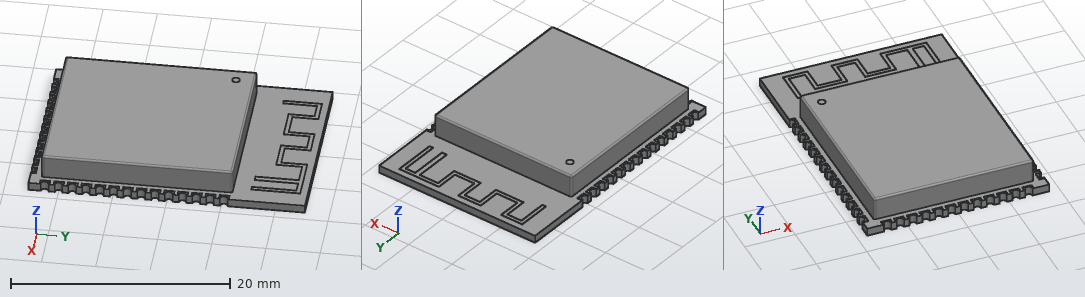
import cadquery as cq

BOARD_WIDTH = 18.0
BOARD_LENGTH = 25.5
BOARD_THICKNESS = 0.8
OVERALL_HEIGHT = 3.1
LEFT_EDGE = -BOARD_WIDTH / 2
FRONT_EDGE = -BOARD_LENGTH / 2
BACK_EDGE = BOARD_LENGTH / 2

COPPER_THICKNESS = 0.035

PAD_WIDTH = 0.92
SIDE_PAD_DEPTH = 0.54
FRONT_PAD_DEPTH = 0.48
CASTELLATION_RADIUS = 0.35
SIDE_PAD_COUNT = 14
FRONT_PAD_COUNT = 12
SIDE_ROW_SPAN = 16.52
PAD_PITCH = SIDE_ROW_SPAN / (SIDE_PAD_COUNT - 1)
FIRST_SIDE_PAD_OFFSET = 1.5

SHIELD_WIDTH = 15.8
SHIELD_LENGTH = 17.6
SHIELD_FRONT_MARGIN = 1.07
SHIELD_EDGE_RADIUS = 0.18
SHIELD_BACK = FRONT_EDGE + SHIELD_FRONT_MARGIN + SHIELD_LENGTH

MARK_DIAMETER = 0.71
MARK_DEPTH = 0.013
MARK_SIDE_INSET = 1.48
MARK_BACK_INSET = 1.7

TRACE_WIDTH = 0.4
FEED_WIDTH = 0.54
MEANDER_TOP = BACK_EDGE - 0.9
MEANDER_BOTTOM = BACK_EDGE - 3.3
OPEN_END = BACK_EDGE - 4.23
FEED_END = BACK_EDGE - 5.1
GROUND_END = BACK_EDGE - 5.2
RUN_OFFSETS = [2.22, 4.23, 7.0, 9.18, 11.83]
FEED_OFFSET = 14.4
GROUND_OFFSET = 16.0


def box_between(x_range, y_range, z_range):
    """Box spanning the given (low, high) limits along each axis."""
    (x0, x1), (y0, y1), (z0, z1) = x_range, y_range, z_range
    return cq.Workplane("XY").box(x1 - x0, y1 - y0, z1 - z0, centered=False).translate((x0, y0, z0))


def copper_strip(start, end, width):
    """Straight strip of raised copper along an axis, extended half a width past each end."""
    half = width / 2
    x_range = (min(start[0], end[0]) - half, max(start[0], end[0]) + half)
    y_range = (min(start[1], end[1]) - half, max(start[1], end[1]) + half)
    return box_between(x_range, y_range, (BOARD_THICKNESS, BOARD_THICKNESS + COPPER_THICKNESS))


def antenna():
    """Raised meander with a feed leg and a ground leg near its right end."""
    xs = [LEFT_EDGE + offset for offset in RUN_OFFSETS]
    feed_x = LEFT_EDGE + FEED_OFFSET
    ground_x = LEFT_EDGE + GROUND_OFFSET
    half = TRACE_WIDTH / 2

    path = [(xs[0], OPEN_END + half)]
    level = MEANDER_TOP
    for x, next_x in zip(xs, xs[1:] + [ground_x]):
        path += [(x, level), (next_x, level)]
        level = MEANDER_BOTTOM if level == MEANDER_TOP else MEANDER_TOP
    path.append((ground_x, GROUND_END + half))

    trace = copper_strip((feed_x, MEANDER_TOP - half), (feed_x, FEED_END + FEED_WIDTH / 2), FEED_WIDTH)
    for start, end in zip(path, path[1:]):
        trace = trace.union(copper_strip(start, end, TRACE_WIDTH))
    return trace


def pad_sites():
    """Centre on the board edge and (X, Y) size of every pad; the outer half overhangs the board."""
    sites = []
    for i in range(SIDE_PAD_COUNT):
        y = FRONT_EDGE + FIRST_SIDE_PAD_OFFSET + i * PAD_PITCH
        for x in (LEFT_EDGE, -LEFT_EDGE):
            sites.append(((x, y), (2 * SIDE_PAD_DEPTH, PAD_WIDTH)))
    for i in range(FRONT_PAD_COUNT):
        x = (i - (FRONT_PAD_COUNT - 1) / 2) * PAD_PITCH
        sites.append(((x, FRONT_EDGE), (PAD_WIDTH, 2 * FRONT_PAD_DEPTH)))
    return sites


def castellated_board():
    """Flat board with pads along three edges and a half-round notch at each pad."""
    board = cq.Workplane("XY").box(BOARD_WIDTH, BOARD_LENGTH, BOARD_THICKNESS, centered=(True, True, False))
    copper_layer = (
        cq.Workplane("XY", origin=(0, 0, BOARD_THICKNESS))
        .box(BOARD_WIDTH, BOARD_LENGTH, COPPER_THICKNESS, centered=(True, True, False))
    )
    sites = pad_sites()
    pads = cq.Workplane("XY", origin=(0, 0, BOARD_THICKNESS))
    for centre, size in sites:
        pads = pads.moveTo(*centre).rect(*size)
    pads = pads.extrude(COPPER_THICKNESS).intersect(copper_layer)
    castellations = (
        cq.Workplane("XY")
        .pushPoints([centre for centre, _ in sites])
        .circle(CASTELLATION_RADIUS)
        .extrude(BOARD_THICKNESS + COPPER_THICKNESS)
    )
    return board.union(pads).cut(castellations)


def shield():
    """Rounded shield can with the pin-one mark in its top."""
    can = box_between(
        (-SHIELD_WIDTH / 2, SHIELD_WIDTH / 2),
        (SHIELD_BACK - SHIELD_LENGTH, SHIELD_BACK),
        (BOARD_THICKNESS, OVERALL_HEIGHT),
    )
    can = can.edges("|Z or >Z").fillet(SHIELD_EDGE_RADIUS)
    mark = (
        cq.Workplane("XY", origin=(0, 0, OVERALL_HEIGHT - MARK_DEPTH))
        .center(-SHIELD_WIDTH / 2 + MARK_SIDE_INSET, SHIELD_BACK - MARK_BACK_INSET)
        .circle(MARK_DIAMETER / 2)
        .extrude(MARK_DEPTH)
    )
    return can.cut(mark)


result = castellated_board().union(shield()).union(antenna())